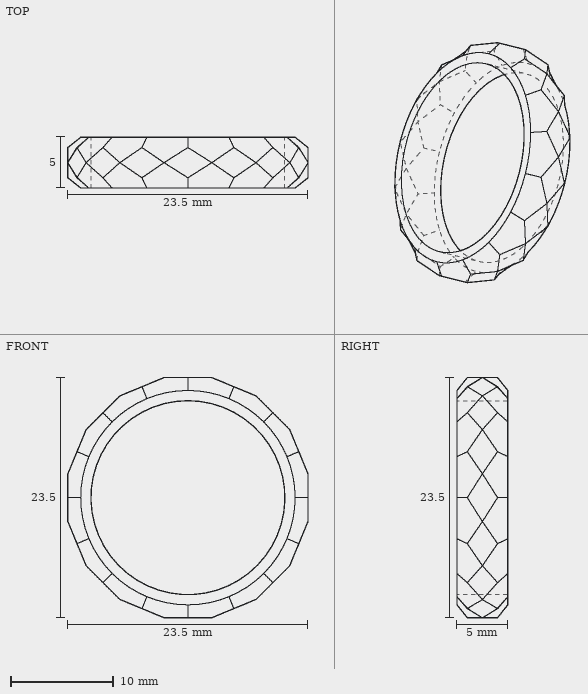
import cadquery as cq
import math

ring_width = 5.0
facet_radius = 11.77
rim_radius = 10.5
bore_radius = 9.49
facet_count = 16
rhombus_half_width = 1.48
crown_radius = 11.49
crown_offset = 1.15

half_width = ring_width / 2
pitch_angle = 360 / facet_count
half_pitch = pitch_angle / 2
tip_radius = facet_radius / math.cos(math.radians(half_pitch))


def ring_point(radius, angle, y):
    """Point at a radius and angle (degrees) about the Y axis."""
    turn = math.radians(angle)
    return cq.Vector(radius * math.cos(turn), y, radius * math.sin(turn))


def rhombus_facet():
    """Flat rhombus centred at angle zero."""
    corners = [
        ring_point(tip_radius, -half_pitch, 0),
        ring_point(facet_radius, 0, rhombus_half_width),
        ring_point(tip_radius, half_pitch, 0),
        ring_point(facet_radius, 0, -rhombus_half_width),
    ]
    return cq.Face.makeFromWires(cq.Wire.makePolygon(corners, close=True))


def shoulder_facet(side):
    """Curved five-sided patch between two rhombi and the rim; side is +1 or -1 along Y."""
    rhombus_y = side * rhombus_half_width
    rim_y = side * half_width
    tip = ring_point(tip_radius, half_pitch, 0)
    first_corner = ring_point(facet_radius, 0, rhombus_y)
    last_corner = ring_point(facet_radius, pitch_angle, rhombus_y)
    first_rim = ring_point(rim_radius, 0, rim_y)
    middle_rim = ring_point(rim_radius, half_pitch, rim_y)
    last_rim = ring_point(rim_radius, pitch_angle, rim_y)
    crown = ring_point(crown_radius, half_pitch, side * crown_offset)
    edges = [
        cq.Edge.makeLine(tip, first_corner),
        cq.Edge.makeLine(first_corner, first_rim),
        cq.Edge.makeThreePointArc(first_rim, middle_rim, last_rim),
        cq.Edge.makeLine(last_rim, last_corner),
        cq.Edge.makeLine(last_corner, tip),
    ]
    return cq.Face.makeNSidedSurface(edges, [crown])


def end_disc(side):
    """Flat disc closing the faceted skin, with its edge split at every facet."""
    rim_y = side * half_width
    arcs = []
    for index in range(facet_count):
        start = index * pitch_angle
        arcs.append(
            cq.Edge.makeThreePointArc(
                ring_point(rim_radius, start, rim_y),
                ring_point(rim_radius, start + half_pitch, rim_y),
                ring_point(rim_radius, start + pitch_angle, rim_y),
            )
        )
    return cq.Face.makeFromWires(cq.Wire.assembleEdges(arcs))


axis_start = cq.Vector(0, 0, 0)
axis_end = cq.Vector(0, 1, 0)
pattern = [rhombus_facet(), shoulder_facet(1), shoulder_facet(-1)]
skin = [end_disc(1), end_disc(-1)]
for index in range(facet_count):
    for facet in pattern:
        skin.append(facet.rotate(axis_start, axis_end, -index * pitch_angle))

blank = cq.Solid.makeSolid(cq.Shell.makeShell(skin)).fix()

bore = cq.Solid.makeCylinder(bore_radius, ring_width, ring_point(0, 0, -half_width), axis_end)
result = cq.Workplane(obj=blank.cut(bore).Solids()[0])